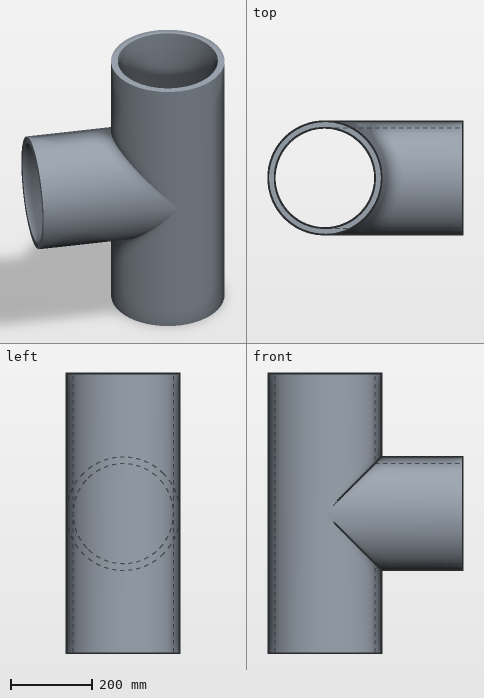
import cadquery as cq

run_length = 690.0
outer_diameter = 280.0
wall = 16.5
branch_reach = 340.0

inner_diameter = outer_diameter - 2 * wall


def tee_solid(diameter):
    """Join a run cylinder and a branch cylinder whose axes cross at the origin."""
    run = cq.Workplane("XY").circle(diameter / 2).extrude(run_length / 2, both=True)
    branch = cq.Workplane("YZ").circle(diameter / 2).extrude(branch_reach)
    return run.union(branch)


result = tee_solid(outer_diameter).cut(tee_solid(inner_diameter))